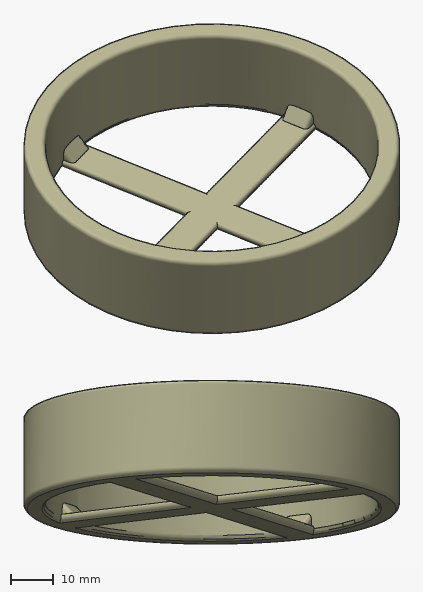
import cadquery as cq
import math

outer_diameter = 87.5
inner_diameter = 77.5
ring_height = 22.0
ring_top_radius = 1.0

bottom_radius = 1.1
bottom_chamfer = 0.4

spoke_width = 8.6
spoke_thickness = 2.0
spoke_top_radius = 0.7

ramp_length = 3.0
ramp_height = 3.0
ramp_width = spoke_width - 2 * spoke_top_radius
ramp_edge_radius = 1.0

inner_radius = inner_diameter / 2
wall_thickness = (outer_diameter - inner_diameter) / 2
wall_overlap = wall_thickness / 2


def edge_treated_section(plane, left, right, height, top_radius):
    """Upright section with rounded top corners and, below, arcs that turn into 45 degree chamfers."""
    arc_turn = math.radians(45)
    arc_drop = bottom_radius * math.sin(arc_turn)
    arc_inset = bottom_radius - arc_drop
    mid_drop = bottom_radius * math.sin(arc_turn / 2)
    mid_inset = bottom_radius * (1 - math.cos(arc_turn / 2))
    arc_start = bottom_chamfer + arc_drop
    foot_inset = arc_inset + bottom_chamfer
    return (
        cq.Workplane(plane)
        .moveTo(left + foot_inset, 0)
        .lineTo(right - foot_inset, 0)
        .lineTo(right - arc_inset, bottom_chamfer)
        .threePointArc((right - mid_inset, arc_start - mid_drop), (right, arc_start))
        .lineTo(right, height - top_radius)
        .radiusArc((right - top_radius, height), -top_radius)
        .lineTo(left + top_radius, height)
        .radiusArc((left, height - top_radius), -top_radius)
        .lineTo(left, arc_start)
        .threePointArc((left + mid_inset, arc_start - mid_drop), (left + arc_inset, bottom_chamfer))
        .close()
    )


def make_ring():
    """Tube with the same edge treatment on its outer and inner sides."""
    section = edge_treated_section("XZ", inner_radius, outer_diameter / 2, ring_height, ring_top_radius)
    return section.revolve(360, (0, 0, 0), (0, 1, 0))


def make_cross():
    """Two crossed bars reaching into the ring wall."""
    half_length = inner_radius + wall_overlap
    half_width = spoke_width / 2
    section = edge_treated_section("YZ", -half_width, half_width, spoke_thickness, spoke_top_radius)
    bar = section.extrude(half_length, both=True)
    return bar.union(bar.rotate((0, 0, 0), (0, 0, 1), 90))


def make_ramp():
    """Wedge on the +X spoke, rising outward to the wall, with rounded sloping edges."""
    toe = inner_radius - ramp_length
    back = inner_radius + wall_overlap
    top = spoke_thickness + ramp_height
    ramp = (
        cq.Workplane("XZ")
        .moveTo(toe, spoke_thickness)
        .lineTo(inner_radius, top)
        .lineTo(back, top)
        .lineTo(back, bottom_chamfer)
        .lineTo(toe, bottom_chamfer)
        .close()
        .extrude(ramp_width / 2, both=True)
    )
    sloping_edges = cq.selectors.BoxSelector(
        (toe, -ramp_width, spoke_thickness), (inner_radius, ramp_width, top)
    )
    return ramp.edges(sloping_edges).edges("not |Y").fillet(ramp_edge_radius)


result = make_ring().union(make_cross())
for angle in (0, 90, 180, 270):
    result = result.union(make_ramp().rotate((0, 0, 0), (0, 0, 1), angle))